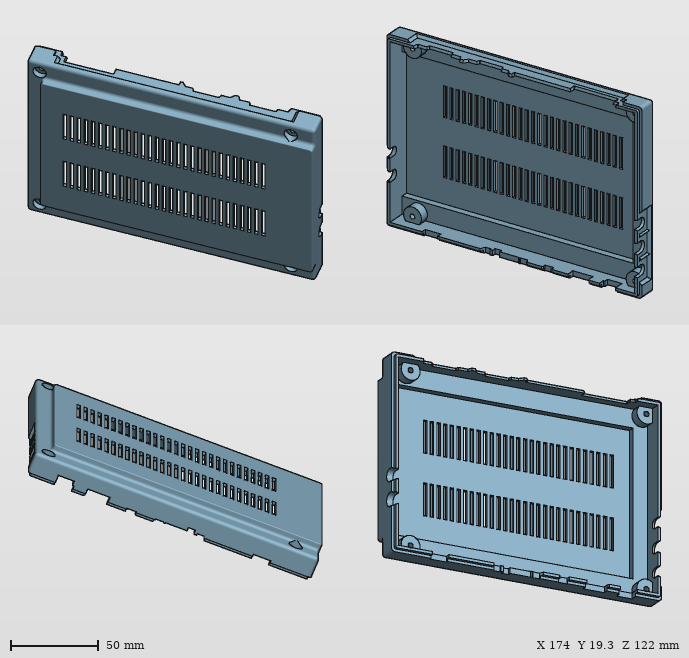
import cadquery as cq

length = 174.0
depth = 19.3
height = 122.0

wall = 3.5
face_thickness = 2.1
outer_round = 2.1
base_front = 4.5
rim_back = 17.2
lip_inset = 1.7
lip_overlap = 1.7
lip_round = 1.0

panel_left = 9.4
panel_margin = 11.5
cove_radius = 2.0
panel_edge_round = 0.5
seam_margin = 0.2

screw_xs = (7.5, 159.4)
screw_edge_offset = 7.5
screw_zs = (screw_edge_offset, height - screw_edge_offset)
screw_diameter = 3.1
counterbore_diameter = 8.0
counterbore_depth = 3.5
boss_diameter = counterbore_diameter + 2 * face_thickness
boss_back = 12.9

slot_count = 29
slot_width = 2.1
slot_height = 20.0
slot_first_x = 24.2
slot_last_x = 144.2
slot_row_offset = 19.1

relief_slope = 45
relief_depth = lip_inset
relief_left = 15.3
relief_right = 159.9
relief_front = 7.8
rim_gap_left = 12.9
rim_gap_front = 13.4

pocket_floors = ((10.3, 23.7), (26.0, 38.8), (40.7, 54.1))
pocket_front = 7.3
notch_tip = 12.4
notches = ((17.2, 5.7), (32.2, 6.5), (47.2, 5.7))
through_notches = notches[1:]

edge_draft = 18
connector_edge = 16.7
low_edge = 14.6
deep_edge = 12.5
top_wall_edge = [
    (16.7, depth), (16.7, connector_edge), (20.0, connector_edge), (20.0, deep_edge),
    (49.0, deep_edge), (49.0, connector_edge), (87.2, connector_edge), (87.2, depth),
    (89.6, depth), (91.9, connector_edge), (96.4, connector_edge), (97.3, low_edge),
    (112.2, low_edge), (113.0, connector_edge), (118.5, connector_edge), (120.5, depth),
    (123.2, depth), (124.5, connector_edge), (130.7, connector_edge), (131.4, low_edge),
    (146.5, low_edge), (147.0, connector_edge), (153.1, connector_edge), (154.0, depth),
]
bottom_wall_edge = [
    (16.7, depth), (16.7, deep_edge), (26.5, deep_edge), (26.5, 15.3), (27.5, 15.3),
    (27.5, depth), (34.6, depth), (35.3, 18.6), (35.3, 14.1), (49.0, 14.1),
    (49.0, depth), (60.5, depth), (60.5, connector_edge), (66.3, connector_edge),
    (66.3, 18.6), (67.0, depth), (77.3, depth), (78.3, connector_edge),
    (83.0, connector_edge), (83.0, 17.2), (84.2, 17.2), (84.2, connector_edge),
    (97.5, connector_edge), (97.5, low_edge), (101.8, low_edge), (101.8, 17.2),
    (103.5, 17.2), (103.5, 16.2), (107.5, 16.2), (109.0, depth), (138.0, depth),
    (138.0, 16.0), (148.6, 16.0), (148.6, depth),
]
edge_clearance = 1.7


def block(x_range, y_range, z_range):
    """Axis-aligned box between the given limits."""
    size = [hi - lo for lo, hi in (x_range, y_range, z_range)]
    corner = (x_range[0], y_range[0], z_range[0])
    return cq.Workplane("XY").box(*size, centered=False).translate(corner)


def rod(x, z, diameter, y_start, y_end):
    """Cylinder along Y."""
    return cq.Workplane(cq.Solid.makeCylinder(
        diameter / 2, y_end - y_start, cq.Vector(x, y_start, z), cq.Vector(0, 1, 0)))


def inset_block(inset, y_start, y_end):
    """Block following the outer outline, moved inward by inset."""
    return block((inset, length - inset), (y_start, y_end), (inset, height - inset))


def outer_body():
    """Solid frame with its raised panel and back lip."""
    frame = inset_block(0, base_front, rim_back)
    frame = frame.edges("|Y or <Y").fillet(outer_round)
    lip = inset_block(lip_inset, rim_back - lip_overlap, depth).edges("|Y").fillet(lip_round)
    panel_z = (panel_margin, height - panel_margin)
    panel = block((panel_left, length), (0, base_front + outer_round), panel_z)
    panel = panel.edges("|Y").fillet(cove_radius)
    body = frame.union(panel)
    seam = cq.selectors.BoxSelector(
        (panel_left - seam_margin, base_front - seam_margin, panel_margin - seam_margin),
        (length - outer_round, base_front + seam_margin, height - panel_margin + seam_margin))
    body = body.edges(seam).fillet(cove_radius)
    body = body.faces("<Y").edges().fillet(panel_edge_round)
    return body.union(lip)


def cavity():
    """Hollow behind the frame, with a deeper pocket behind the raised panel."""
    main = inset_block(wall, base_front + face_thickness, depth)
    panel_pocket = block(
        (panel_left + wall, length - wall), (face_thickness, depth),
        (panel_margin + wall, height - panel_margin - wall))
    return main.union(panel_pocket)


def screw_bosses():
    bosses = cq.Workplane()
    for x in screw_xs:
        for z in screw_zs:
            bosses = bosses.union(rod(x, z, boss_diameter, base_front + face_thickness, boss_back))
    inside = inset_block(wall / 2, base_front, depth)
    return bosses.intersect(inside)


def screw_holes():
    """Through holes with counterbores opening on the front of the frame."""
    holes = cq.Workplane()
    for x in screw_xs:
        for z in screw_zs:
            holes = holes.union(rod(x, z, screw_diameter, 0, depth))
            holes = holes.union(rod(x, z, counterbore_diameter, 0, base_front + counterbore_depth))
    return holes


def vent_slots():
    pitch = (slot_last_x - slot_first_x) / (slot_count - 1)
    centres = [
        (slot_first_x + i * pitch, height / 2 + row * slot_row_offset)
        for i in range(slot_count) for row in (-1, 1)
    ]
    slots = cq.Workplane("XZ").pushPoints(centres).rect(slot_width, slot_height)
    return slots.extrude(-2 * face_thickness)


def sloped_recess(plane, u_range, v_range):
    """Recess sunk by relief_depth from the plane, whose sides slope inward."""
    u_size = u_range[1] - u_range[0]
    v_size = v_range[1] - v_range[0]
    mouth = cq.Workplane(plane).center(u_range[0] + u_size / 2, v_range[0] + v_size / 2)
    return mouth.rect(u_size, v_size).extrude(-relief_depth, taper=relief_slope)


def edge_openings(edge_points, inner_z, outward, draft):
    """Everything behind a stepped wall edge, from the wall's inner face outward."""
    first_x, last_x = edge_points[0][0], edge_points[-1][0]
    beyond = depth + edge_clearance
    outline = [(first_x, beyond)] + edge_points + [(last_x, beyond)]
    sketch = cq.Workplane("XY", origin=(0, 0, inner_z)).polyline(outline).close()
    return sketch.extrude(outward * wall, taper=-draft)


def top_wall_cut():
    """Outer relief, rim gap beside it, and the openings in the back edge."""
    top = cq.Plane(origin=(0, 0, height))
    relief = sloped_recess(top, (relief_left, relief_right), (relief_front, depth + wall))
    gap = block((rim_gap_left, relief_left + relief_depth), (rim_gap_front, depth),
                (height - relief_depth, height))
    openings = edge_openings(top_wall_edge, height - wall, 1, edge_draft)
    return relief.union(gap).union(openings)


def bottom_wall_cut():
    return edge_openings(bottom_wall_edge, wall, -1, 0)


def cable_notch(z, width, inner_x, outward):
    """Round-ended notch through an end wall, widening from the wall's inner face outward."""
    radius = width / 2
    centre_y = notch_tip + radius
    beyond = depth + edge_clearance
    outline = (
        cq.Workplane("YZ", origin=(inner_x, 0, 0))
        .moveTo(beyond, z - radius)
        .lineTo(centre_y, z - radius)
        .threePointArc((notch_tip, z), (centre_y, z + radius))
        .lineTo(beyond, z + radius)
        .close()
    )
    return outline.extrude(outward * wall, taper=-edge_draft)


def cable_cuts():
    cuts = cq.Workplane()
    left_face = cq.Plane(origin=(0, 0, 0), xDir=(0, -1, 0), normal=(-1, 0, 0))
    for low, high in pocket_floors:
        cuts = cuts.union(sloped_recess(
            left_face, (-depth - wall, -pocket_front), (low - relief_depth, high + relief_depth)))
    for z, width in notches:
        cuts = cuts.union(cable_notch(z, width, wall, -1))
    for z, width in through_notches:
        cuts = cuts.union(cable_notch(z, width, length - wall, 1))
    return cuts


result = outer_body().cut(cavity()).union(screw_bosses())
for cut in (screw_holes(), vent_slots(), top_wall_cut(), bottom_wall_cut(), cable_cuts()):
    result = result.cut(cut)